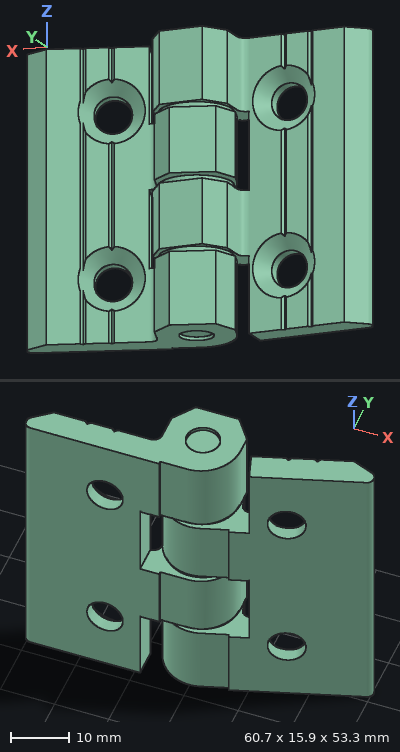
import cadquery as cq
import math


LEAF_LENGTH = 53.0
PLATE_END = 30.0
PLATE_FRONT = 8.0
PLATE_THICKNESS = 5.0
PLATE_BACK = PLATE_FRONT - PLATE_THICKNESS
END_BEVEL_RUN = 3.7
END_BEVEL_DROP = 2.9
END_ROUND_RADIUS = 1.2

KNUCKLE_HALF_WIDTH = 7.0
KNUCKLE_FRONT = 7.5
KNUCKLE_FLAT_HALF_WIDTH = 4.0
KNUCKLE_FLAT_HALF_HEIGHT = 3.0
STEP_OFFSET = 5.0
INNER_FILLET_RADIUS = 1.5

NOTCH_EDGE = 8.5
UPPER_KNUCKLE_HEIGHT = 13.2
MIDDLE_NOTCH_HEIGHT = 14.1
LOWER_KNUCKLE_HEIGHT = 11.8

SCREW_HOLE_DIAMETER = 6.6
COUNTERSINK_DIAMETER = 11.6
COUNTERSINK_ANGLE = 90
SCREW_HOLE_OFFSET = 15.0
SCREW_HOLE_SPACING = 30.0
GROOVE_SPACING = 5.0
GROOVE_DEPTH = 0.5

PIN_DIAMETER = 5.95
PIN_RECESS = 0.6
KNUCKLE_BORE_DIAMETER = 6.0
WASHER_BORE_DIAMETER = 6.1
WASHER_DIAMETER = 13.0

SWING_ANGLE = 17.3
SWUNG_LEAF_DROP = 0.25

LEAF_TOP = LEAF_LENGTH / 2
UPPER_KNUCKLE_BOTTOM = LEAF_TOP - UPPER_KNUCKLE_HEIGHT
LOWER_KNUCKLE_TOP = UPPER_KNUCKLE_BOTTOM - MIDDLE_NOTCH_HEIGHT
LOWER_KNUCKLE_BOTTOM = LOWER_KNUCKLE_TOP - LOWER_KNUCKLE_HEIGHT
WASHER_THICKNESS = UPPER_KNUCKLE_BOTTOM - (-LOWER_KNUCKLE_BOTTOM - SWUNG_LEAF_DROP)


def leaf_profile():
    """Full cross-section of a leaf: plate, end bevel and knuckle with an elliptical outer front corner."""
    return (
        cq.Workplane("XY")
        .moveTo(-PLATE_END, -PLATE_FRONT)
        .lineTo(-STEP_OFFSET, -PLATE_FRONT)
        .lineTo(-STEP_OFFSET, -KNUCKLE_FRONT)
        .lineTo(0, -KNUCKLE_FRONT)
        .ellipseArc(KNUCKLE_HALF_WIDTH, KNUCKLE_FRONT, 270, 360)
        .lineTo(KNUCKLE_HALF_WIDTH, KNUCKLE_FLAT_HALF_HEIGHT)
        .lineTo(KNUCKLE_FLAT_HALF_WIDTH, KNUCKLE_HALF_WIDTH)
        .lineTo(-KNUCKLE_FLAT_HALF_WIDTH, KNUCKLE_HALF_WIDTH)
        .lineTo(-KNUCKLE_HALF_WIDTH, KNUCKLE_FLAT_HALF_HEIGHT)
        .lineTo(-KNUCKLE_HALF_WIDTH, -PLATE_BACK)
        .lineTo(-PLATE_END + END_BEVEL_RUN, -PLATE_BACK)
        .lineTo(-PLATE_END, -PLATE_BACK - END_BEVEL_DROP)
        .close()
    )


def knuckle_notch(top, bottom):
    """Block that clears one stretch of the knuckle, out past every side of it."""
    reach = 2 * KNUCKLE_HALF_WIDTH
    return cq.Workplane("XY").box(
        NOTCH_EDGE + reach, 2 * reach, top - bottom, centered=(False, True, False)
    ).translate((-NOTCH_EDGE, 0, bottom))


def screw_holes():
    """Two through holes, countersunk on the back of the plate."""
    hole_radius = SCREW_HOLE_DIAMETER / 2
    sink_radius = COUNTERSINK_DIAMETER / 2
    sink_depth = (sink_radius - hole_radius) / math.tan(math.radians(COUNTERSINK_ANGLE / 2))
    section = [
        (0, -PLATE_FRONT),
        (hole_radius, -PLATE_FRONT),
        (hole_radius, -PLATE_BACK - sink_depth),
        (sink_radius, -PLATE_BACK),
        (0, -PLATE_BACK),
    ]
    hole = cq.Workplane("XY").polyline(section).close().revolve(360, (0, 0), (0, 1))
    holes = cq.Workplane("XY")
    for side in (-1, 1):
        holes = holes.add(hole.translate((-SCREW_HOLE_OFFSET, 0, side * SCREW_HOLE_SPACING / 2)))
    return holes.combine()


def marking_grooves():
    """V grooves running the length of the plate back, one of them through the hole centres."""
    grooves = cq.Workplane("XY").workplane(offset=-LEAF_LENGTH / 2)
    for x in (-SCREW_HOLE_OFFSET, -SCREW_HOLE_OFFSET - GROOVE_SPACING):
        grooves = (
            grooves.moveTo(x - GROOVE_DEPTH, -PLATE_BACK)
            .lineTo(x, -PLATE_BACK - GROOVE_DEPTH)
            .lineTo(x + GROOVE_DEPTH, -PLATE_BACK)
            .close()
        )
    return grooves.extrude(LEAF_LENGTH)


def make_leaf():
    """Leaf with its plate toward -X and its upper knuckle flush with its top edge."""
    leaf = leaf_profile().extrude(LEAF_LENGTH / 2, both=True)
    leaf = leaf.edges("|Z and <X").fillet(END_ROUND_RADIUS)
    inner_corner = cq.selectors.NearestToPointSelector((-KNUCKLE_HALF_WIDTH, -PLATE_BACK, 0))
    leaf = leaf.edges(inner_corner).fillet(INNER_FILLET_RADIUS)
    leaf = leaf.cut(knuckle_notch(UPPER_KNUCKLE_BOTTOM, LOWER_KNUCKLE_TOP))
    leaf = leaf.cut(knuckle_notch(LOWER_KNUCKLE_BOTTOM, -LEAF_TOP))
    bore = cq.Workplane("XY").circle(KNUCKLE_BORE_DIAMETER / 2).extrude(LEAF_LENGTH / 2, both=True)
    return leaf.cut(bore).cut(screw_holes()).cut(marking_grooves())


def swing(leaf):
    """Turn a leaf end for end, swing it about the pin and lower it slightly."""
    turned = leaf.rotate((0, 0, 0), (0, 1, 0), 180)
    return turned.rotate((0, 0, 0), (0, 0, 1), SWING_ANGLE).translate((0, 0, -SWUNG_LEAF_DROP))


def make_pin():
    """Pin recessed equally below the hinge top and above the hinge bottom."""
    pin_top = LEAF_TOP - PIN_RECESS
    pin_bottom = -LEAF_TOP - SWUNG_LEAF_DROP + PIN_RECESS
    return (
        cq.Workplane("XY")
        .workplane(offset=pin_bottom)
        .circle(PIN_DIAMETER / 2)
        .extrude(pin_top - pin_bottom)
    )


def make_washer(bottom):
    return (
        cq.Workplane("XY")
        .workplane(offset=bottom)
        .circle(WASHER_DIAMETER / 2)
        .circle(WASHER_BORE_DIAMETER / 2)
        .extrude(WASHER_THICKNESS)
    )


fixed_leaf = make_leaf()
swung_leaf = swing(make_leaf())
pin = make_pin()

washer_bottoms = (
    UPPER_KNUCKLE_BOTTOM - WASHER_THICKNESS,
    LOWER_KNUCKLE_TOP,
    LOWER_KNUCKLE_BOTTOM - WASHER_THICKNESS,
)
washers = [make_washer(bottom) for bottom in washer_bottoms]

result = cq.Compound.makeCompound(
    [fixed_leaf.val(), swung_leaf.val(), pin.val(), *[washer.val() for washer in washers]]
)